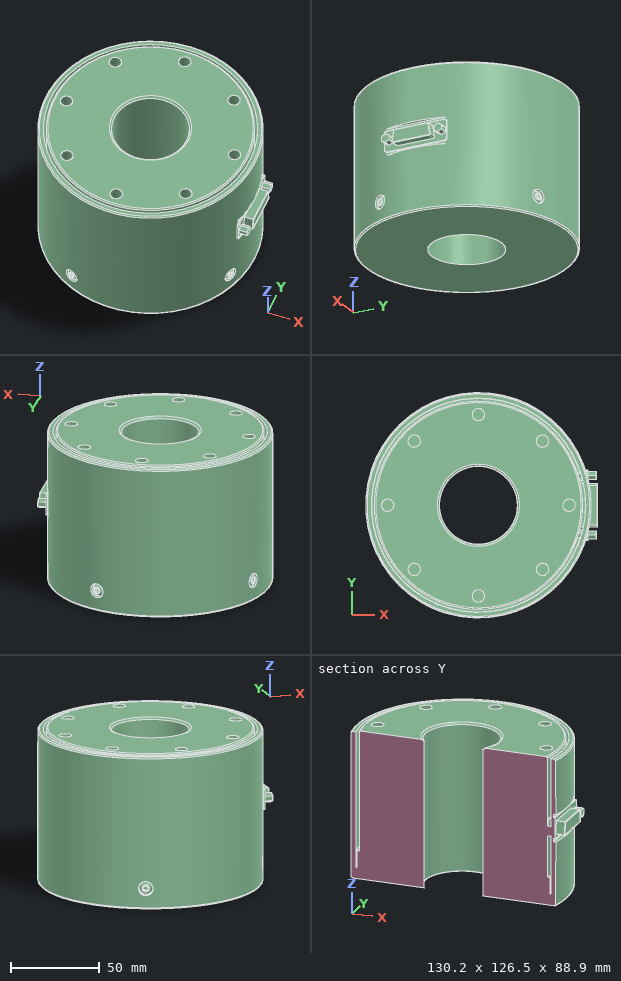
import cadquery as cq
import math

OVERALL_LENGTH = 130.2
BODY_DIAMETER = 126.5
TOTAL_HEIGHT = 88.9
SHELL_TOP = 88.0
EDGE_CHAMFER = 0.8
SHELL_INNER_DIAMETER = 120.3
CORE_DIAMETER = 116.9
CORE_CHAMFER = 0.8
BORE_DIAMETER = 43.7
BORE_CHAMFER = 1.2

BASE_HEIGHT = 7.0
SPIGOT_DIAMETER = 119.9
SPIGOT_TOP = 16.9

TOP_HOLE_COUNT = 8
TOP_HOLE_DIAMETER = 6.9
TOP_HOLE_DEPTH = 13.0
TOP_HOLE_CIRCLE_RADIUS = 50.9

SCREW_COUNT = 4
SCREW_FIRST_ANGLE = 67.5
SCREW_HEIGHT = 12.0
SCREW_RECESS_DIAMETER = 8.1
SCREW_RECESS_FLOOR_RADIUS = 60.5
SCREW_HEAD_DIAMETER = 8.0
SCREW_HEAD_HEIGHT = 2.6
SCREW_HEAD_FLAT_DIAMETER = 4.2
SCREW_SHOULDER_DIAMETER = 6.6
SCREW_SHOULDER_HEIGHT = 1.7
SCREW_SOCKET_DIAMETER = 3.0
SCREW_SOCKET_DEPTH = 1.5

CONNECTOR_HEIGHT = 46.6
FLAT_X = 60.5
FLAT_HEIGHT = 16.0
FLANGE_FRONT_X = 61.5
FLANGE_WIDTH = 39.3
FLANGE_HEIGHT = 12.8
FLANGE_CORNER_RADIUS = 1.4
PLUG_END_X = OVERALL_LENGTH - BODY_DIAMETER / 2
PLUG_WIDTH = 24.7
PLUG_HEIGHT = 7.8
PLUG_END_CHAMFER = 0.3
REAR_START_X = 54.7
REAR_WIDTH = 27.9
REAR_HEIGHT = 10.4
D_SIDE_ANGLE = 10.0
D_CORNER_RADIUS = 0.8
POST_SPACING = 33.3
POST_ACROSS_FLATS = 4.7
POST_END_X = 66.3
POST_SHANK_DIAMETER = 2.9


def cylinder(diameter, bottom, top):
    """Upright cylinder on the body axis."""
    return cq.Workplane("XY").workplane(offset=bottom).circle(diameter / 2).extrude(top - bottom)


def plane_facing_x(x, y=0.0):
    """Sketch plane facing +X at connector height; local x is Y, local y is Z."""
    return cq.Workplane("YZ", origin=(x, y, CONNECTOR_HEIGHT))


def make_body():
    base = cylinder(BODY_DIAMETER, 0, BASE_HEIGHT).faces("<Z").edges().chamfer(EDGE_CHAMFER)
    spigot = cylinder(SPIGOT_DIAMETER, 0, SPIGOT_TOP)
    core = cylinder(CORE_DIAMETER, 0, TOTAL_HEIGHT).faces(">Z").edges().chamfer(CORE_CHAMFER)
    shell = cylinder(BODY_DIAMETER, BASE_HEIGHT, SHELL_TOP).faces(">Z").edges().chamfer(EDGE_CHAMFER)
    shell = shell.cut(cylinder(SHELL_INNER_DIAMETER, BASE_HEIGHT, SHELL_TOP))
    return base.union(shell).union(spigot).union(core)


def cut_bore(body):
    bore = cylinder(BORE_DIAMETER, 0, TOTAL_HEIGHT)
    lead_in = (
        cq.Workplane("XY")
        .workplane(offset=TOTAL_HEIGHT)
        .circle(BORE_DIAMETER / 2 + BORE_CHAMFER)
        .extrude(-BORE_CHAMFER, taper=45)
    )
    return body.cut(bore).cut(lead_in)


def cut_top_holes(body):
    holes = (
        cq.Workplane("XY")
        .workplane(offset=TOTAL_HEIGHT)
        .polarArray(TOP_HOLE_CIRCLE_RADIUS, 0, 360, TOP_HOLE_COUNT)
        .circle(TOP_HOLE_DIAMETER / 2)
        .extrude(-TOP_HOLE_DEPTH)
    )
    return body.cut(holes)


def make_screw_head():
    """Domed head with a hexagon socket, seated on the recess floor and facing +X."""
    rim = SCREW_HEAD_DIAMETER / 2
    flat = SCREW_HEAD_FLAT_DIAMETER / 2
    head = (
        cq.Workplane("XZ")
        .lineTo(rim, 0)
        .threePointArc((SCREW_SHOULDER_DIAMETER / 2, SCREW_SHOULDER_HEIGHT), (flat, SCREW_HEAD_HEIGHT))
        .lineTo(0, SCREW_HEAD_HEIGHT)
        .close()
        .revolve(360, (0, 0), (0, 1))
    )
    socket = (
        cq.Workplane("XY")
        .workplane(offset=SCREW_HEAD_HEIGHT)
        .polygon(6, SCREW_SOCKET_DIAMETER)
        .extrude(-SCREW_SOCKET_DEPTH)
    )
    head = head.cut(socket).rotate((0, 0, 0), (0, 1, 0), 90)
    return head.translate((SCREW_RECESS_FLOOR_RADIUS, 0, SCREW_HEIGHT))


def add_side_screws(body):
    recess = (
        cq.Workplane("YZ", origin=(SCREW_RECESS_FLOOR_RADIUS, 0, SCREW_HEIGHT))
        .circle(SCREW_RECESS_DIAMETER / 2)
        .extrude(BODY_DIAMETER / 2 - SCREW_RECESS_FLOOR_RADIUS)
    )
    head = make_screw_head()
    for index in range(SCREW_COUNT):
        angle = SCREW_FIRST_ANGLE + index * 360 / SCREW_COUNT
        body = body.cut(recess.rotate((0, 0, 0), (0, 0, 1), angle))
        body = body.union(head.rotate((0, 0, 0), (0, 0, 1), angle))
    return body


def make_d_block(start_x, end_x, width, height):
    """Trapezoidal block along X, narrower at the top, with rounded lower corners."""
    half_width = width / 2
    half_height = height / 2
    top_half_width = half_width - height * math.tan(math.radians(D_SIDE_ANGLE))
    return (
        plane_facing_x(start_x)
        .polyline(
            [
                (-half_width, -half_height),
                (half_width, -half_height),
                (top_half_width, half_height),
                (-top_half_width, half_height),
            ]
        )
        .close()
        .extrude(end_x - start_x)
        .edges("|X and <Z")
        .fillet(D_CORNER_RADIUS)
    )


def make_post(y):
    """Hexagonal post, corner up, with a shank running through the shell into the core."""
    across_corners = POST_ACROSS_FLATS / math.cos(math.radians(30))
    hexagon = plane_facing_x(FLAT_X, y).polygon(6, across_corners).extrude(POST_END_X - FLAT_X)
    hexagon = hexagon.rotate((0, y, CONNECTOR_HEIGHT), (1, y, CONNECTOR_HEIGHT), 90)
    shank = (
        plane_facing_x(REAR_START_X, y)
        .circle(POST_SHANK_DIAMETER / 2)
        .extrude(FLAT_X - REAR_START_X)
    )
    return hexagon.union(shank)


def add_connector(body):
    flat_cut = (
        plane_facing_x(FLAT_X)
        .rect(BODY_DIAMETER, FLAT_HEIGHT)
        .extrude(BODY_DIAMETER / 2 - FLAT_X)
    )
    flange = (
        plane_facing_x(FLAT_X)
        .rect(FLANGE_WIDTH, FLANGE_HEIGHT)
        .extrude(FLANGE_FRONT_X - FLAT_X)
        .edges("|X")
        .fillet(FLANGE_CORNER_RADIUS)
    )
    plug = make_d_block(FLAT_X, PLUG_END_X, PLUG_WIDTH, PLUG_HEIGHT)
    plug = plug.faces(">X").edges().chamfer(PLUG_END_CHAMFER)
    rear = make_d_block(REAR_START_X, FLAT_X, REAR_WIDTH, REAR_HEIGHT)
    body = body.cut(flat_cut).union(flange).union(plug).union(rear)
    for side in (-1, 1):
        body = body.union(make_post(side * POST_SPACING / 2))
    return body


result = make_body()
result = cut_bore(result)
result = cut_top_holes(result)
result = add_side_screws(result)
result = add_connector(result)